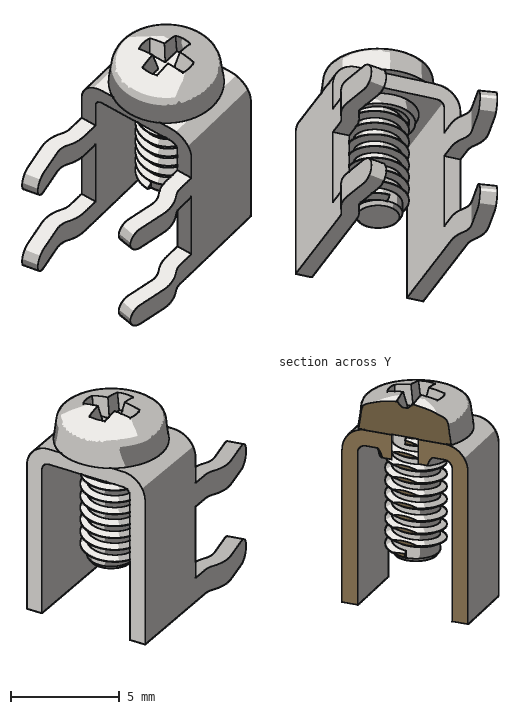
import cadquery as cq
import math


sheet = 0.8128
bracket_width = 6.35
bracket_depth = 4.55
bracket_height = 8.89
bend_inner_radius = 0.381
bend_outer_radius = bend_inner_radius + sheet
leg_face = bracket_width / 2
front_edge = -bracket_depth / 2

prong_height = 1.27
prong_pitch = 5.08
prong_count = 2
prong_reach = 6.88
prong_offset = 0.381
prong_straight = 0.86
prong_inner_radius = 0.9652
prong_outer_radius = prong_inner_radius + sheet
prong_bend = math.acos(1 - prong_offset / (prong_inner_radius + prong_outer_radius))
tip_angle = math.radians(11)

collar_height = 0.45
collar_top_radius = 1.88
collar_mid_radius = 1.77
collar_end_radius = 1.72

head_height = 1.9
head_radius = 2.667
head_shoulder_radius = 2.51
head_fillet = 0.381
dome_radius = 5.08
head_top = bracket_height + head_height

slot_depth = 1.016
slot_floor_width = 0.52
slot_floor_radius = 1.17
slot_draft = math.radians(11)

core_radius = 1.13
crest_radius = 1.43
screw_tip = 2.54
tip_chamfer_height = 0.2
tip_chamfer_width = 0.14

thread_pitch = 0.635
thread_start = 2.906
thread_base_width = 0.37
thread_crest_width = 0.03
thread_root_overlap = 0.1
thread_turns = math.floor((bracket_height - thread_start - thread_base_width / 2) / thread_pitch)

bore_clearance = 0.01
bore_radius = crest_radius + bore_clearance


def make_channel():
    """Inverted U of bent sheet, extruded along Y."""
    outer = (
        cq.Workplane("XY")
        .box(bracket_width, bracket_depth, bracket_height, centered=(True, True, False))
        .edges("|Y and >Z")
        .fillet(bend_outer_radius)
    )
    inner = (
        cq.Workplane("XY")
        .box(bracket_width - 2 * sheet, bracket_depth, bracket_height - sheet, centered=(True, True, False))
        .edges("|Y and >Z")
        .fillet(bend_inner_radius)
    )
    return outer.cut(inner)


def along(point, angle, length):
    """Point reached by moving in -Y, turned by angle toward +X."""
    return (point[0] + length * math.sin(angle), point[1] - length * math.cos(angle))


def across(center, angle, radius):
    """Point on a circle, measured from its +X side and turned clockwise by angle."""
    return (center[0] + radius * math.cos(angle), center[1] - radius * math.sin(angle))


def make_prong(bottom):
    """Prong of the +X leg, with its lower edge at height bottom."""
    bend_start = front_edge - prong_straight
    first_center = (leg_face + prong_inner_radius, bend_start)
    second_center = (
        leg_face + prong_offset - prong_outer_radius,
        bend_start - (prong_inner_radius + prong_outer_radius) * math.sin(prong_bend),
    )

    def first_bend(angle, radius):
        return across(first_center, math.pi - angle, radius)

    outer_end = across(second_center, tip_angle, prong_outer_radius)
    inner_end = across(second_center, tip_angle, prong_outer_radius - sheet)
    tip_length = (outer_end[1] + prong_reach) / math.cos(tip_angle)
    outer_tip = along(outer_end, -tip_angle, tip_length)
    inner_tip = along(inner_end, -tip_angle, tip_length)

    strip = (
        cq.Workplane("XY", origin=(0, 0, bottom))
        .moveTo(leg_face, 0)
        .lineTo(leg_face, bend_start)
        .threePointArc(
            first_bend(prong_bend / 2, prong_inner_radius),
            first_bend(prong_bend, prong_inner_radius),
        )
        .threePointArc(across(second_center, 0, prong_outer_radius), outer_end)
        .lineTo(*outer_tip)
        .lineTo(*inner_tip)
        .lineTo(*inner_end)
        .threePointArc(
            across(second_center, 0, prong_outer_radius - sheet),
            first_bend(prong_bend, prong_outer_radius),
        )
        .threePointArc(
            first_bend(prong_bend / 2, prong_outer_radius),
            (leg_face - sheet, bend_start),
        )
        .lineTo(leg_face - sheet, 0)
        .close()
        .extrude(prong_height)
    )

    round_radius = prong_height / 2
    tip_frame = cq.Plane(
        origin=(outer_tip[0], outer_tip[1], bottom + round_radius),
        xDir=(math.sin(tip_angle), math.cos(tip_angle), 0),
        normal=(-math.cos(tip_angle), math.sin(tip_angle), 0),
    )
    tip_block = cq.Workplane(tip_frame).rect(2 * round_radius, prong_height).extrude(sheet)
    tip_round = cq.Workplane(tip_frame).center(round_radius, 0).circle(round_radius).extrude(sheet)
    return strip.cut(tip_block).union(tip_round)


def make_collar():
    """Flared collar with a hollow outline, hanging from the top plate."""
    plate_underside = bracket_height - sheet
    return (
        cq.Workplane("XZ")
        .moveTo(0, plate_underside)
        .lineTo(collar_top_radius, plate_underside)
        .threePointArc(
            (collar_mid_radius, plate_underside - collar_height / 2),
            (collar_end_radius, plate_underside - collar_height),
        )
        .lineTo(0, plate_underside - collar_height)
        .close()
        .revolve(360, (0, 0), (0, 1))
    )


def make_terminal():
    body = make_channel().union(make_collar())
    for index in range(prong_count):
        prong = make_prong(index * prong_pitch)
        body = body.union(prong).union(prong.mirror("YZ"))
    bore = cq.Workplane("XY").circle(bore_radius).extrude(bracket_height)
    return body.cut(bore)


def make_head():
    """Tapered, domed head with a rounded shoulder."""
    def dome_height(radius):
        return head_top - dome_radius + math.sqrt(dome_radius**2 - radius**2)

    shoulder_height = dome_height(head_shoulder_radius)
    middle_radius = head_shoulder_radius / 2
    return (
        cq.Workplane("XZ")
        .moveTo(0, bracket_height)
        .lineTo(head_radius, bracket_height)
        .lineTo(head_shoulder_radius, shoulder_height)
        .threePointArc((middle_radius, dome_height(middle_radius)), (0, head_top))
        .close()
        .revolve(360, (0, 0), (0, 1))
        .edges(cq.selectors.BoxSelector(
            (-head_radius, -head_radius, shoulder_height - head_fillet / 2),
            (head_radius, head_radius, shoulder_height + head_fillet / 2),
            boundingbox=True,
        ))
        .fillet(head_fillet)
    )


def make_cross_slot():
    """Two crossing bars that widen upward from the slot floor, with their ends rounded by a cone."""
    slot_floor = cq.Workplane("XY", origin=(0, 0, head_top - slot_depth))
    widening = slot_depth * math.tan(slot_draft)
    end_cone = (
        slot_floor
        .circle(slot_floor_radius)
        .workplane(offset=slot_depth)
        .circle(slot_floor_radius + widening)
        .loft(ruled=True)
    )
    bar = (
        slot_floor
        .rect(2 * head_radius, slot_floor_width)
        .workplane(offset=slot_depth)
        .rect(2 * head_radius, slot_floor_width + 2 * widening)
        .loft(ruled=True)
    )
    cross = bar.union(bar.rotate((0, 0, 0), (0, 0, 1), 90))
    return cross.intersect(end_cone)


def make_thread():
    """Left-handed thread ridge that starts on the -Y side."""
    path = cq.Wire.makeHelix(thread_pitch, thread_turns * thread_pitch, core_radius, lefthand=True)
    root_radius = core_radius - thread_root_overlap
    ridge = (
        cq.Workplane("XZ")
        .moveTo(root_radius, -thread_base_width / 2)
        .lineTo(core_radius, -thread_base_width / 2)
        .lineTo(crest_radius, -thread_crest_width / 2)
        .lineTo(crest_radius, thread_crest_width / 2)
        .lineTo(core_radius, thread_base_width / 2)
        .lineTo(root_radius, thread_base_width / 2)
        .close()
        .sweep(cq.Workplane("XY").add(path), isFrenet=True)
    )
    return ridge.rotate((0, 0, 0), (0, 0, 1), -90).translate((0, 0, thread_start))


def make_screw():
    core = (
        cq.Workplane("XY", origin=(0, 0, screw_tip))
        .circle(core_radius)
        .extrude(bracket_height - screw_tip)
        .faces("<Z")
        .chamfer(tip_chamfer_height, tip_chamfer_width)
    )
    head = make_head().cut(make_cross_slot())
    return core.union(make_thread()).union(head)


terminal = make_terminal()
screw = make_screw()
result = cq.Compound.makeCompound([terminal.solids().val(), screw.solids().val()])